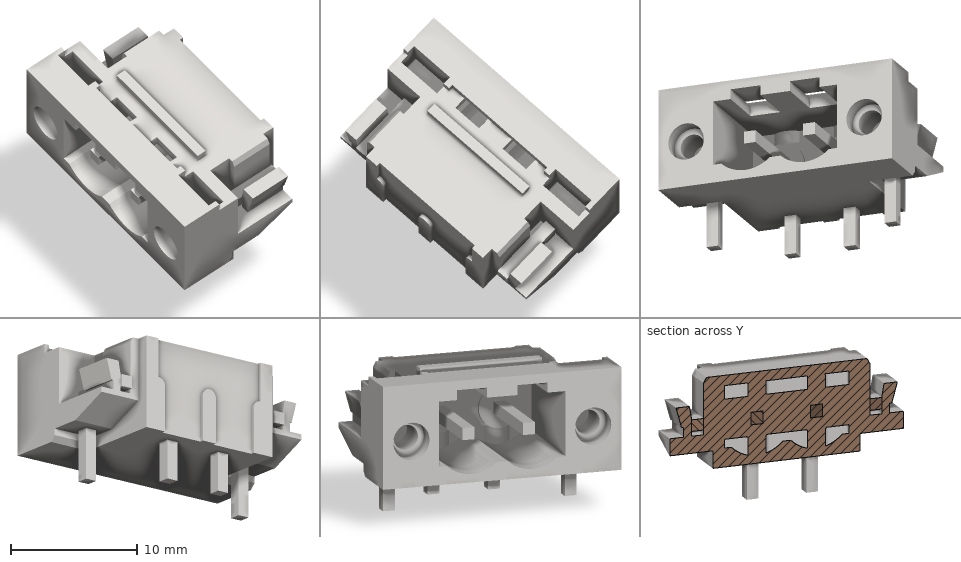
import cadquery as cq

WIDTH = 19.96
DEPTH = 12.0
BLOCK_TOP = 8.4
DECK_TOP = 7.65
PITCH = 5.07
AXIS_Z = 3.77

PIN_SIZE = 1.0
PIN_TAIL = 3.23
PIN_TOP = AXIS_Z + PIN_SIZE / 2
PIN_BOTTOM = PIN_TOP - PIN_SIZE

CONTACT_XS = (-PITCH / 2, PITCH / 2)
SIDES = (-1, 1)
FLANGE_X = 1.5 * PITCH

BLOCK_DEPTH = 3.53
DECK_SHIFT = 0.38
FRONT_WALL_REAR = 5.43
MIDDLE_WIDTH = 10.22
BODY_WIDTH = 12.57

WING_REAR = 10.95
SHELF_TOP = 2.91
SHELF_EDGE = 2.48
SHELF_BOTTOM = 1.0
SLOPE_FOOT = 7.52
UNDERCUT_FRONT = 4.85
UNDERCUT_CHAMFER = 0.45
RECESS_HALF_WIDTH = 6.47
RETAINER_FRONT = 7.37
CHEEK_CHAMFER_WIDTH = 0.25
CHEEK_CHAMFER_HEIGHT = 0.45

HOOK_TOP = 5.4
HOOK_STEP = 3.7
HOOK_OUTER = 9.46
HOOK_LIP = 8.98
HOOK_BASE_OUTER = 8.8
HOOK_LEAD_WIDTH = 0.18
HOOK_LEAD_HEIGHT = 1.0

CAVITY_WIDTH = 10.6
CAVITY_DEPTH = 8.78
CAVITY_FLOOR_FRONT = 1.5
CAVITY_FLOOR_REAR = 1.62
CAVITY_TOP_FRONT = 6.83
CAVITY_TOP_REAR = 6.75
LOBE_RADIUS = 3.07
KEY_WIDTH = 2.53
KEY_DEPTH = 4.21
BAND_BOTTOM = 2.3
BAND_TOP = 5.67
BAND_DEPTH = 0.35
COLUMN_RADIUS = 1.65
COLUMN_CHORD = 2.12
COLLAR_RADIUS = 1.72
COLLAR_DEPTH = 0.6

RIDGE_FRONT = 5.25
RIDGE_DEPTH = 0.82
RIDGE_TOP = 8.3
RIDGE_FOOT = 0.2

REAR_RECESS_DEPTH = 0.34
RIB_RADIUS = 0.64

SCREW_HOLE_DIAMETER = 2.04
COUNTERBORE_DIAMETER = 3.03
COUNTERBORE_DEPTH = 1.38
NUT_FRONT = 2.81
NUT_THICKNESS = 1.3
NUT_WIDTH = 3.65
NUT_CORNER = 0.25
SLOT_WIDTH = 3.85
SLOT_DEPTH = 1.5

FLANGE_PIN_FRONT = 5.5
FLANGE_PIN_REAR = 11.18
CONTACT_TIP = 0.9
CONTACT_REAR = 10.45


def block(x_range, y_range, z_range):
    """Box between the given limits."""
    size = [high - low for low, high in (x_range, y_range, z_range)]
    return cq.Workplane("XY").box(*size, centered=False).translate((x_range[0], y_range[0], z_range[0]))


def centred_block(x, width, y_range, z_range):
    """Box of the given width, centred on x."""
    return block((x - width / 2, x + width / 2), y_range, z_range)


def side_block(side, inner, outer, y_range, z_range):
    """Box on one flange, between two distances from the centre plane."""
    return block(sorted((side * inner, side * outer)), y_range, z_range)


def rod(x, radius, y_range, z=AXIS_Z):
    """Cylinder along Y."""
    start, end = y_range
    plane = cq.Workplane("XZ", origin=(x, start, z))
    return plane.circle(radius).extrude(start - end)


def side_profile(points, width):
    """Outline in Y and Z, extruded to the given width about the centre plane."""
    return cq.Workplane("YZ").polyline(points).close().extrude(width / 2, both=True)


def front_profile(points, y_range):
    """Outline in X and Z, extruded along Y."""
    start, end = y_range
    return cq.Workplane("XZ", origin=(0, start, 0)).polyline(points).close().extrude(start - end)


def angled_pin(x, bar_front, bar_rear, leg_front):
    """Right-angle pin: a bar along Y and a leg down to the end of the solder tail."""
    bar = centred_block(x, PIN_SIZE, (bar_front, bar_rear), (PIN_BOTTOM, PIN_TOP))
    leg = centred_block(x, PIN_SIZE, (leg_front, leg_front + PIN_SIZE), (-PIN_TAIL, PIN_TOP))
    return bar.union(leg)


def contact_pin(x):
    return angled_pin(x, CONTACT_TIP, CONTACT_REAR, CONTACT_REAR - PIN_SIZE)


def flange_pin(side):
    return angled_pin(side * FLANGE_X, FLANGE_PIN_FRONT, FLANGE_PIN_REAR, FLANGE_PIN_FRONT)


def nut(side):
    """Square nut with rounded corners, lying against the front wall of its slot."""
    half = NUT_WIDTH / 2
    y_range = (NUT_FRONT, NUT_FRONT + NUT_THICKNESS)
    body = centred_block(side * FLANGE_X, NUT_WIDTH, y_range, (AXIS_Z - half, AXIS_Z + half))
    body = body.edges("|Y").fillet(NUT_CORNER)
    return body.cut(rod(side * FLANGE_X, SCREW_HOLE_DIAMETER / 2, y_range))


def outer_body():
    """Front block, deck and rear body."""
    deck_front = BLOCK_DEPTH - DECK_SHIFT
    body = centred_block(0, WIDTH, (0, FRONT_WALL_REAR), (0, BLOCK_TOP))
    body = body.cut(centred_block(0, WIDTH, (BLOCK_DEPTH, FRONT_WALL_REAR), (DECK_TOP, BLOCK_TOP)))
    body = body.cut(centred_block(0, MIDDLE_WIDTH, (deck_front, FRONT_WALL_REAR), (DECK_TOP, BLOCK_TOP)))
    return body.union(centred_block(0, BODY_WIDTH, (0, DEPTH), (0, DECK_TOP)))


def wing(side):
    """Shelf, cheek wall and snap hook that hold one flange pin."""
    y_range = (RETAINER_FRONT, WING_REAR)
    channel_inner = FLANGE_X - PIN_SIZE / 2
    channel_outer = FLANGE_X + PIN_SIZE / 2
    body_edge = BODY_WIDTH / 2

    shelf = side_block(side, body_edge, WIDTH / 2, (FRONT_WALL_REAR, WING_REAR), (0, SHELF_TOP))
    recess_wall = side_block(side, body_edge, RECESS_HALF_WIDTH, (FRONT_WALL_REAR, WING_REAR), (0, DECK_TOP))
    cheek = [
        (body_edge, SHELF_TOP),
        (channel_inner, SHELF_TOP),
        (channel_inner, DECK_TOP - CHEEK_CHAMFER_HEIGHT),
        (channel_inner - CHEEK_CHAMFER_WIDTH, DECK_TOP),
        (body_edge, DECK_TOP),
    ]
    hook = [
        (channel_outer, SHELF_TOP),
        (HOOK_BASE_OUTER, SHELF_TOP),
        (HOOK_BASE_OUTER, HOOK_STEP),
        (HOOK_LIP, HOOK_STEP),
        (HOOK_OUTER, HOOK_TOP),
        (channel_outer + HOOK_LEAD_WIDTH, HOOK_TOP),
        (channel_outer, HOOK_TOP - HOOK_LEAD_HEIGHT),
    ]
    solid = shelf.union(recess_wall)
    for outline in (cheek, hook):
        solid = solid.union(front_profile([(side * x, z) for x, z in outline], y_range))
    return solid


def wing_undercut(side):
    """Space below one wing, with a sloped rear and a chamfered front corner."""
    outline = [
        (UNDERCUT_FRONT - UNDERCUT_CHAMFER, 0),
        (UNDERCUT_FRONT, UNDERCUT_CHAMFER),
        (UNDERCUT_FRONT, SHELF_BOTTOM),
        (SLOPE_FOOT, SHELF_BOTTOM),
        (WING_REAR, SHELF_EDGE),
        (WING_REAR, 0),
    ]
    side_limit = side_block(side, BODY_WIDTH / 2, WIDTH / 2, (0, DEPTH), (0, BLOCK_TOP))
    return side_profile(outline, WIDTH).intersect(side_limit)


def plug_cavity():
    """Cavity with drafted floor and ceiling, a round lobe and a key slot for each contact."""
    outline = [
        (0, CAVITY_FLOOR_FRONT),
        (CAVITY_DEPTH, CAVITY_FLOOR_REAR),
        (CAVITY_DEPTH, CAVITY_TOP_REAR),
        (0, CAVITY_TOP_FRONT),
    ]
    cavity = side_profile(outline, CAVITY_WIDTH)
    lower_half = centred_block(0, CAVITY_WIDTH, (0, CAVITY_DEPTH), (0, AXIS_Z))
    for x in CONTACT_XS:
        cavity = cavity.union(rod(x, LOBE_RADIUS, (0, CAVITY_DEPTH)).intersect(lower_half))
        cavity = cavity.union(centred_block(x, KEY_WIDTH, (0, KEY_DEPTH), (AXIS_Z, DECK_TOP)))
    return cavity.cut(cavity_rear_details())


def cavity_rear_details():
    """Cross band on the rear wall of the cavity, with a bowed column and a collar at each contact."""
    band_front = CAVITY_DEPTH - BAND_DEPTH
    details = centred_block(0, CAVITY_WIDTH, (band_front, CAVITY_DEPTH), (BAND_BOTTOM, BAND_TOP))
    chord_distance = (COLUMN_RADIUS**2 - (COLUMN_CHORD / 2) ** 2) ** 0.5
    for x in CONTACT_XS:
        column = cq.Workplane("XY").circle(COLUMN_RADIUS).extrude(DECK_TOP)
        column = column.translate((x, CAVITY_DEPTH + chord_distance, 0))
        details = details.union(column)
        details = details.union(rod(x, COLLAR_RADIUS, (CAVITY_DEPTH - COLLAR_DEPTH, CAVITY_DEPTH)))
    return details


def deck_ridge():
    """Bar across the deck with concave feet along its front and rear."""
    rear = RIDGE_FRONT + RIDGE_DEPTH
    foot_top = DECK_TOP + RIDGE_FOOT
    bend = RIDGE_FOOT * (1 - 0.5**0.5)
    outline = (
        cq.Workplane("YZ")
        .moveTo(RIDGE_FRONT - RIDGE_FOOT, DECK_TOP)
        .threePointArc((RIDGE_FRONT - bend, DECK_TOP + bend), (RIDGE_FRONT, foot_top))
        .lineTo(RIDGE_FRONT, RIDGE_TOP)
        .lineTo(rear, RIDGE_TOP)
        .lineTo(rear, foot_top)
        .threePointArc((rear + bend, DECK_TOP + bend), (rear + RIDGE_FOOT, DECK_TOP))
        .close()
    )
    return outline.extrude(MIDDLE_WIDTH / 2, both=True)


def rear_recess():
    """Shallow recess in the rear face that leaves round-topped ribs between the contacts."""
    y_range = (DEPTH - REAR_RECESS_DEPTH, DEPTH)
    recess = centred_block(0, MIDDLE_WIDTH, y_range, (0, DECK_TOP))
    for x in (-PITCH, 0, PITCH):
        rib = centred_block(x, 2 * RIB_RADIUS, y_range, (0, AXIS_Z))
        recess = recess.cut(rib.union(rod(x, RIB_RADIUS, y_range)))
    return recess


def nut_slot(side):
    """Slot open to the top for one nut, with a counterbored screw hole in front of it."""
    x = side * FLANGE_X
    slot_range = (NUT_FRONT, NUT_FRONT + SLOT_DEPTH)
    slot = centred_block(x, SLOT_WIDTH, slot_range, (AXIS_Z - NUT_WIDTH / 2, BLOCK_TOP))
    screw_hole = rod(x, SCREW_HOLE_DIAMETER / 2, (0, NUT_FRONT))
    counterbore = rod(x, COUNTERBORE_DIAMETER / 2, (0, COUNTERBORE_DEPTH))
    return slot.union(screw_hole).union(counterbore)


contact_pins = [contact_pin(x) for x in CONTACT_XS]
flange_pins = [flange_pin(side) for side in SIDES]
nuts = [nut(side) for side in SIDES]

housing = outer_body()
for side in SIDES:
    housing = housing.union(wing(side)).cut(wing_undercut(side)).cut(nut_slot(side))
housing = housing.cut(plug_cavity()).union(deck_ridge()).cut(rear_recess())
for pin in contact_pins + flange_pins:
    housing = housing.cut(pin)

result = cq.Compound.makeCompound([body.val() for body in [housing, *contact_pins, *flange_pins, *nuts]])